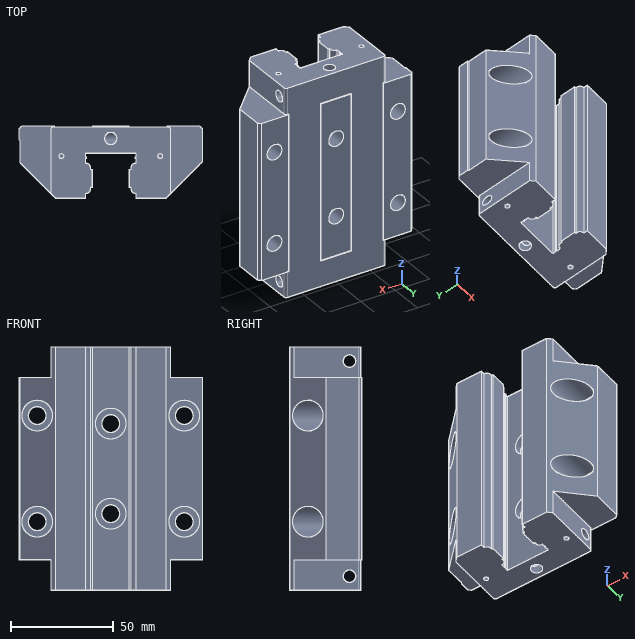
import cadquery as cq
import math


LENGTH = 119.2
HEIGHT = 35.4
BODY_WIDTH = 90.0
BODY_LENGTH = 89.4
CAP_LENGTH = (LENGTH - BODY_LENGTH) / 2

FOOT_HALF_WIDTH = 27.0
BODY_CHAMFER = 1.4
EDGE_RELIEF = 0.5
REFERENCE_EDGE_Y = 28.8

MOUNT_RELIEF = 0.5
STRIP_INNER_X = 8.8
STRIP_OUTER_X = 27.5

CAP_HALF_WIDTH = 29.3
CAP_HEIGHT = HEIGHT - MOUNT_RELIEF
CAP_FILLET = 1.2

CHANNEL_HALF_WIDTH = 12.3
CHANNEL_ROOF_Y = 21.9
RIB_HEIGHT = 0.4
RIB_BOTTOM_Y = 19.5
RIB_TOP_Y = 20.3
NOSE_BOTTOM_Y = 2.3
NOSE_TOP_Y = 17.3
NOSE_RADIUS = 2.4
PAD_HALF_GAP = 9.0
PAD_BOTTOM_Y = 5.4
PAD_TOP_Y = 14.2

SCREW_DIAMETER = 8.6
COUNTERBORE_DIAMETER = 15.0
SIDE_SCREW_X = 36.0
SIDE_SCREW_Z = 26.0
SIDE_SEAT_Y = 24.4
CENTRE_SCREW_Z = 22.0
CENTRE_SEAT_Y = 26.2

LUBE_DIAMETER = 6.0
LUBE_Y = 29.3
LUBE_Z = 52.7
CAP_SCREW_DIAMETER = 2.4
CAP_SCREW_X = 24.2
CAP_SCREW_Y = 20.6
CAP_SCREW_DEPTH = 3.6
DRILL_POINT_ANGLE = 118.0


def body():
    """Wide steel body with sloping flanks and a reference edge on the -X side."""
    right = BODY_WIDTH / 2
    left = EDGE_RELIEF - right
    outline = [
        (-FOOT_HALF_WIDTH, 0),
        (FOOT_HALF_WIDTH, 0),
        (right, right - FOOT_HALF_WIDTH),
        (right, HEIGHT - BODY_CHAMFER),
        (right - BODY_CHAMFER, HEIGHT),
        (BODY_CHAMFER - right, HEIGHT),
        (-right, HEIGHT - BODY_CHAMFER),
        (-right, REFERENCE_EDGE_Y),
        (left, REFERENCE_EDGE_Y - EDGE_RELIEF),
        (left, -left - FOOT_HALF_WIDTH),
    ]
    solid = cq.Workplane("XY").polyline(outline).close().extrude(BODY_LENGTH / 2, both=True)
    strip_width = STRIP_OUTER_X - STRIP_INNER_X
    strip_x = (STRIP_OUTER_X + STRIP_INNER_X) / 2
    strips = (
        cq.Workplane("XY")
        .pushPoints([(-strip_x, HEIGHT), (strip_x, HEIGHT)])
        .rect(strip_width, 2 * MOUNT_RELIEF)
        .extrude(BODY_LENGTH / 2, both=True)
    )
    return solid.cut(strips)


def end_cap():
    """Cap on the +Z end, with its foot bevelled to match the body."""
    bevel = CAP_HALF_WIDTH - FOOT_HALF_WIDTH
    outline = [
        (-FOOT_HALF_WIDTH, 0),
        (FOOT_HALF_WIDTH, 0),
        (CAP_HALF_WIDTH, bevel),
        (CAP_HALF_WIDTH, CAP_HEIGHT),
        (-CAP_HALF_WIDTH, CAP_HEIGHT),
        (-CAP_HALF_WIDTH, bevel),
    ]
    cap = cq.Workplane("XY", origin=(0, 0, BODY_LENGTH / 2)).polyline(outline).close().extrude(CAP_LENGTH)
    cap = cap.edges("|Z and >Y").fillet(CAP_FILLET)
    return cap.cut(cap_holes())


def cap_holes():
    """Cross hole, end hole that meets it and two small drilled screw holes."""
    cross = (
        cq.Workplane("YZ")
        .center(LUBE_Y, LUBE_Z)
        .circle(LUBE_DIAMETER / 2)
        .extrude(CAP_HALF_WIDTH, both=True)
    )
    end_face = cq.Workplane("XY", origin=(0, 0, LENGTH / 2))
    end_hole = end_face.center(0, LUBE_Y).circle(LUBE_DIAMETER / 2).extrude(LUBE_Z - LENGTH / 2)
    return cross.union(end_hole).union(cap_screw_hole(-1)).union(cap_screw_hole(1))


def cap_screw_hole(side):
    """Blind hole with a drill point, turned about its own axis."""
    radius = CAP_SCREW_DIAMETER / 2
    point_height = radius / math.tan(math.radians(DRILL_POINT_ANGLE / 2))
    half_section = [
        (0, 0),
        (radius, 0),
        (radius, -CAP_SCREW_DEPTH),
        (0, -CAP_SCREW_DEPTH - point_height),
    ]
    drill = cq.Workplane("XZ").polyline(half_section).close().revolve(360, (0, 0, 0), (0, 1, 0))
    return drill.translate((side * CAP_SCREW_X, CAP_SCREW_Y, LENGTH / 2))


def half_channel():
    """The +X half of the rail channel, over the whole length."""
    nose_flank_x = CHANNEL_HALF_WIDTH - NOSE_RADIUS
    rib_x = CHANNEL_HALF_WIDTH - RIB_HEIGHT
    arc_mid_offset = NOSE_RADIUS * math.sqrt(0.5)
    arc_mid_x = CHANNEL_HALF_WIDTH - arc_mid_offset
    lower_centre_y = NOSE_BOTTOM_Y + NOSE_RADIUS
    upper_centre_y = NOSE_TOP_Y - NOSE_RADIUS
    return (
        cq.Workplane("XY")
        .moveTo(0, 0)
        .lineTo(CHANNEL_HALF_WIDTH, 0)
        .lineTo(CHANNEL_HALF_WIDTH, NOSE_BOTTOM_Y)
        .threePointArc((arc_mid_x, lower_centre_y - arc_mid_offset), (nose_flank_x, lower_centre_y))
        .lineTo(nose_flank_x, PAD_BOTTOM_Y)
        .lineTo(PAD_HALF_GAP, PAD_BOTTOM_Y)
        .lineTo(PAD_HALF_GAP, PAD_TOP_Y)
        .lineTo(nose_flank_x, PAD_TOP_Y)
        .lineTo(nose_flank_x, upper_centre_y)
        .threePointArc((arc_mid_x, upper_centre_y + arc_mid_offset), (CHANNEL_HALF_WIDTH, NOSE_TOP_Y))
        .lineTo(CHANNEL_HALF_WIDTH, RIB_BOTTOM_Y)
        .lineTo(rib_x, RIB_BOTTOM_Y)
        .lineTo(rib_x, RIB_TOP_Y)
        .lineTo(CHANNEL_HALF_WIDTH, RIB_TOP_Y)
        .lineTo(CHANNEL_HALF_WIDTH, CHANNEL_ROOF_Y)
        .lineTo(0, CHANNEL_ROOF_Y)
        .close()
        .extrude(LENGTH / 2, both=True)
    )


def screw_hole(x, z, head_start_y, seat_y):
    """Through hole along Y, with a counterbore from head_start_y up to seat_y."""
    shank = cq.Solid.makeCylinder(
        SCREW_DIAMETER / 2, HEIGHT - head_start_y, cq.Vector(x, head_start_y, z), cq.Vector(0, 1, 0)
    )
    head = cq.Solid.makeCylinder(
        COUNTERBORE_DIAMETER / 2, seat_y - head_start_y, cq.Vector(x, head_start_y, z), cq.Vector(0, 1, 0)
    )
    return cq.Workplane(shank).union(cq.Workplane(head))


upper_cap = end_cap()
result = body().union(upper_cap).union(upper_cap.mirror("XY"))

channel = half_channel()
result = result.cut(channel).cut(channel.mirror("YZ"))

for z_sign in (-1, 1):
    for x_sign in (-1, 1):
        result = result.cut(screw_hole(x_sign * SIDE_SCREW_X, z_sign * SIDE_SCREW_Z, 0, SIDE_SEAT_Y))
    result = result.cut(screw_hole(0, z_sign * CENTRE_SCREW_Z, CHANNEL_ROOF_Y, CENTRE_SEAT_Y))